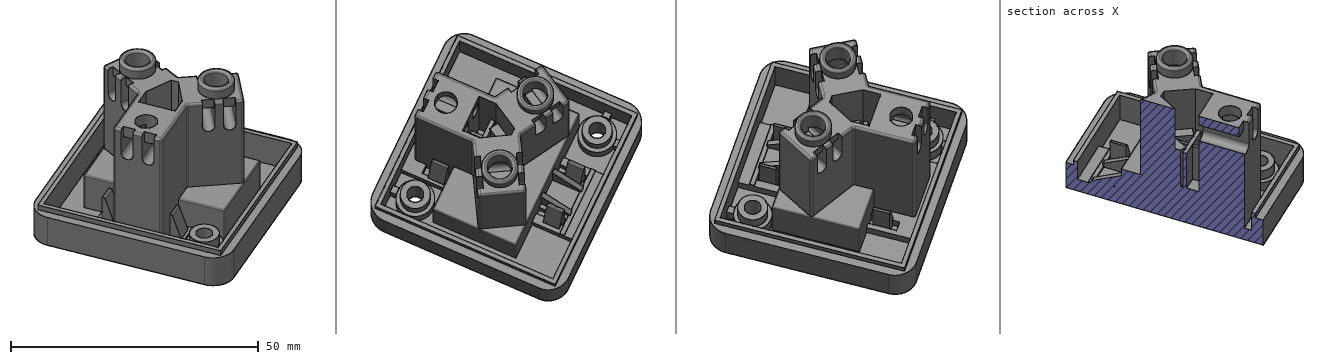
import cadquery as cq
import math

base_size = 43.4
base_corner_radius = 4.5
base_height = 7.0
rim_size = 40.0
rim_height = 8.15
tray_size = 38.2
tray_floor = 1.5
half_tray = tray_size / 2

boss_offset = 13.85
boss_diameter = 6.08
boss_top = 6.65
boss_ring_diameter = 7.8
boss_ring_top = 4.2
boss_hole_diameter = 3.4
boss_rib_width = 1.55
boss_rib_top = 3.75

panel_top = 3.3
front_panel_left = -9.75
front_panel_right = 9.25
back_panel_left = -6.8
back_panel_right = 8.38
ridge_start = 15.65
ridge_end = 16.65
ridge_top = 3.7

axis_x = 0.8
block_width = 30.8
block_front = -8.9
block_back = 9.55
block_top = 9.65
block_fillet = 0.2

clip_length = 3.55
clip_width = 2.55
clip_tip_width = 0.6
clip_fillet = 0.35
clip_top = 8.8
front_clip_start = -13.45
back_clip_start = 11.6
front_clips = (-8.7, 6.05)
back_clips = (-5.1, 4.95)
front_recess_width = 2.13
front_recess_end = -14.95
back_recess_width = 1.4

gusset_width = 1.1
gusset_offsets = (-2.78, 2.78)
gusset_high = 7.8
gusset_low = 4.12
gusset_end = 16.0

hub_y = -2.1
tower_top = 30.35
tower_fillet = 0.5
side_arm_length = 15.0
side_arm_width = 9.7
front_arm_length = 15.5
front_arm_width = 10.7
side_arm_angles = (30, 150)
front_arm_angle = 270

collar_distance = 9.95
collar_diameter = 7.38
collar_top = 32.8
collar_fillet = 0.55
collar_bore = 5.0
front_bore_distance = 10.95
front_bore = 4.6
bore_floor = 27.0

side_slot_width = 2.5
front_slot_width = 2.6
slot_bottom = 23.2
side_slot_pitch = 4.3
side_slot_roof = 28.25
front_slot_pitch = 4.6
front_slot_roof = 27.78
notch_depth = 1.2

pocket_half_width = 4.0
pocket_front = -7.5
pocket_back = 1.82
pocket_back_half_width = 0.8
pocket_floor = block_top
pocket_ledge_top = 19.55
cross_wall_top = 19.1
pocket_rib_top = 18.65
well_back = -0.82
well_half_width = 1.95
cross_wall_back = -4.0
cross_wall_thickness = 0.9
pocket_rib_width = 0.55


def box(x0, x1, y0, y1, z0, z1):
    """Box between two corners."""
    return cq.Workplane("XY").box(x1 - x0, y1 - y0, z1 - z0, centered=False).translate((x0, y0, z0))


def cylinder(x, y, diameter, z0, z1):
    """Upright cylinder from z0 to z1."""
    return cq.Workplane("XY", origin=(x, y, z0)).circle(diameter / 2).extrude(z1 - z0)


def prism(points, z0, z1):
    """Upright prism over an outline, given relative to the tower axis in X."""
    return cq.Workplane("XY", origin=(axis_x, 0, z0)).polyline(points).close().extrude(z1 - z0)


def on_arm(shape, angle):
    """Move a shape from an arm lying along +X at the origin to its place on the tower."""
    return shape.rotate((0, 0, 0), (0, 0, 1), angle).translate((axis_x, hub_y, 0))


def tray():
    base = cq.Workplane("XY").rect(base_size, base_size).extrude(base_height)
    base = base.edges("|Z").fillet(base_corner_radius)
    rim = cq.Workplane("XY").rect(rim_size, rim_size).extrude(rim_height)
    cavity = box(-half_tray, half_tray, -half_tray, half_tray, tray_floor, rim_height)
    return base.union(rim).cut(cavity)


def boss():
    """Boss in the -X, +Y corner with a rib to each of the two walls, without its hole."""
    half_rib = boss_rib_width / 2
    body = cylinder(-boss_offset, boss_offset, boss_diameter, 0, boss_top)
    body = body.union(cylinder(-boss_offset, boss_offset, boss_ring_diameter, 0, boss_ring_top))
    side_rib = box(-half_tray, -boss_offset, boss_offset - half_rib, boss_offset + half_rib, 0, boss_rib_top)
    back_rib = box(-boss_offset - half_rib, -boss_offset + half_rib, boss_offset, half_tray, 0, boss_rib_top)
    return body.union(side_rib).union(back_rib)


def clip(x, y):
    """Clip with an upright -X face, a sloping +X face and a rounded tip."""
    profile = [
        (x, tray_floor),
        (x + clip_width, tray_floor),
        (x + clip_width, panel_top),
        (x + clip_tip_width, clip_top),
        (x, clip_top),
    ]
    body = cq.Workplane("XZ", origin=(0, y, 0)).polyline(profile).close().extrude(-clip_length)
    return body.faces(">Z").edges(">X").fillet(clip_fillet)


def front_panel():
    panel = box(front_panel_left, front_panel_right, -half_tray, block_front, 0, panel_top)
    for x in front_clips:
        panel = panel.cut(
            box(x, x + front_recess_width, front_recess_end, block_front, tray_floor, panel_top)
        )
        panel = panel.union(clip(x, front_clip_start))
    return panel


def back_panel():
    panel = box(back_panel_left, back_panel_right, block_back, half_tray, 0, panel_top)
    panel = panel.union(box(back_panel_left, back_panel_right, ridge_start, ridge_end, 0, ridge_top))
    for x in back_clips:
        panel = panel.cut(box(x, x + back_recess_width, block_back, ridge_start, tray_floor, panel_top))
        panel = panel.union(clip(x, back_clip_start))
    return panel


def gusset(offset):
    """Rib that slopes down from the block toward +Y."""
    profile = [
        (block_back, tray_floor),
        (gusset_end, tray_floor),
        (gusset_end, gusset_low),
        (block_back, gusset_high),
    ]
    start_x = axis_x + offset - gusset_width / 2
    return cq.Workplane("YZ", origin=(start_x, 0, 0)).polyline(profile).close().extrude(gusset_width)


def block():
    half_width = block_width / 2
    body = box(axis_x - half_width, axis_x + half_width, block_front, block_back, 0, block_top)
    return body.edges("|Z or >Z").fillet(block_fillet)


def tower_body():
    def arm(length, width, angle):
        return on_arm(box(0, length, -width / 2, width / 2, 0, tower_top), angle)

    body = arm(front_arm_length, front_arm_width, front_arm_angle)
    for angle in side_arm_angles:
        body = body.union(arm(side_arm_length, side_arm_width, angle))
    body = body.clean()
    return body.edges("|Z").fillet(tower_fillet).faces(">Z").edges().fillet(tower_fillet)


def collar():
    """Collar with its bore, rounded on both edges of its top."""
    ring = cylinder(collar_distance, 0, collar_diameter, bore_floor, collar_top)
    ring = ring.cut(cylinder(collar_distance, 0, collar_bore, bore_floor, collar_top))
    return ring.faces(">Z").edges().fillet(collar_fillet)


def slot(slot_width, length, roof):
    """Round-bottomed slot along +Y, centred on X = 0 and starting at Y = 0."""
    radius = slot_width / 2
    straight_start = slot_bottom + radius
    profile = (
        cq.Workplane("XZ")
        .moveTo(-radius, roof)
        .lineTo(-radius, straight_start)
        .threePointArc((0, slot_bottom), (radius, straight_start))
        .lineTo(radius, roof)
        .close()
    )
    return profile.extrude(-length)


def side_slots():
    """Two slots across a side arm, each opening upward in a notch at both ends."""
    half_width = side_arm_width / 2
    cuts = cq.Workplane("XY")
    for offset in (-side_slot_pitch / 2, side_slot_pitch / 2):
        x = collar_distance + offset
        cuts = cuts.add(slot(side_slot_width, side_arm_width, side_slot_roof).translate((x, -half_width, 0)))
        for y in (-half_width, half_width - notch_depth):
            cuts = cuts.add(slot(side_slot_width, notch_depth, tower_top).translate((x, y, 0)))
    return cuts.combine()


def front_slots():
    """Two slots from the end of the front arm into the pocket."""
    end_y = hub_y - front_arm_length
    cuts = cq.Workplane("XY")
    for offset in (-front_slot_pitch / 2, front_slot_pitch / 2):
        x = axis_x + offset
        cuts = cuts.add(slot(front_slot_width, pocket_front - end_y, front_slot_roof).translate((x, end_y, 0)))
        cuts = cuts.add(slot(front_slot_width, notch_depth, tower_top).translate((x, end_y, 0)))
    return cuts.combine()


def pocket():
    """House-shaped pocket with two ledges, a cross wall and a middle rib at its bottom."""
    slope = math.tan(math.radians(60))
    shoulder_y = pocket_back - (pocket_half_width - pocket_back_half_width) * slope
    well_front = well_back - well_half_width * slope
    ledge_front = well_front + (pocket_half_width - well_half_width) / slope
    outline = [
        (-pocket_half_width, pocket_front),
        (pocket_half_width, pocket_front),
        (pocket_half_width, shoulder_y),
        (pocket_back_half_width, pocket_back),
        (-pocket_back_half_width, pocket_back),
        (-pocket_half_width, shoulder_y),
    ]
    ledge = [
        (0, well_back),
        (well_half_width, well_front),
        (pocket_half_width, ledge_front),
        (pocket_half_width, pocket_back),
        (-pocket_half_width, pocket_back),
        (-pocket_half_width, ledge_front),
        (-well_half_width, well_front),
    ]
    half_rib = pocket_rib_width / 2
    cavity = prism(outline, pocket_floor, tower_top)
    cavity = cavity.cut(prism(ledge, pocket_floor, pocket_ledge_top))
    cavity = cavity.cut(
        box(
            axis_x - pocket_half_width,
            axis_x + pocket_half_width,
            cross_wall_back - cross_wall_thickness,
            cross_wall_back,
            pocket_floor,
            cross_wall_top,
        )
    )
    rib = box(axis_x - half_rib, axis_x + half_rib, pocket_front, well_back, pocket_floor, pocket_rib_top)
    return cavity.cut(rib)


def tower():
    body = tower_body().cut(pocket()).cut(front_slots())
    body = body.cut(cylinder(axis_x, hub_y - front_bore_distance, front_bore, bore_floor, tower_top))
    for angle in side_arm_angles:
        body = body.union(on_arm(collar(), angle))
        body = body.cut(on_arm(side_slots(), angle))
        body = body.cut(on_arm(cylinder(collar_distance, 0, collar_bore, bore_floor, collar_top), angle))
    return body


result = tray().union(front_panel()).union(back_panel())
for turn in (0, 180):
    result = result.union(boss().rotate((0, 0, 0), (0, 0, 1), turn))
for x, y in ((-boss_offset, boss_offset), (boss_offset, -boss_offset)):
    result = result.cut(cylinder(x, y, boss_hole_diameter, 0, boss_top))
result = result.union(block())
for offset in gusset_offsets:
    result = result.union(gusset(offset))
result = result.union(tower())